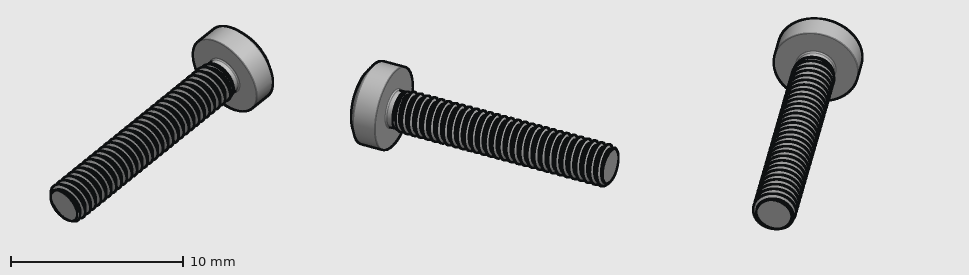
import cadquery as cq
import math

total_length = 16.1

head_radius = 5.0 / 2
head_height = 2.1
rim_height = 1.43
crown_flat_radius = 1.34
crown_bulge = 0.08
rim_top_round = 0.08
rim_bottom_round = 0.03

neck_radius = 1.11
neck_length = 0.43
neck_fillet = 0.08

thread_pitch = 0.45
major_radius = 2.5 / 2
root_radius = 1.01
crest_width = thread_pitch / 8
flank_angle = 30.0
runout_length = 0.39
closed_runout_length = 0.27
tip_radius = 1.06
tip_chamfer_length = 0.21
crest_to_tip = 0.05
root_overlap = 0.05
trim_margin = 0.08
trim_reach = 3 * thread_pitch
spare_turns = 1

shank_length = total_length - head_height
thread_length = shank_length - neck_length


def make_head():
    """Cylindrical rim with a slightly domed, flat-topped crown."""
    profile = (
        cq.Workplane("XY")
        .lineTo(head_radius, 0)
        .lineTo(head_radius, rim_height)
        .sagittaArc((crown_flat_radius, head_height), -crown_bulge)
        .lineTo(0, head_height)
        .close()
    )
    head = profile.revolve(360, (0, 0), (0, 1))
    head = head.faces("%CYLINDER").edges("%CIRCLE and >Y").fillet(rim_top_round)
    return head.faces("<Y").edges().fillet(rim_bottom_round)


def make_neck():
    """Plain neck that flares into the underside of the head."""
    flare_radius = neck_radius + neck_fillet
    arc_offset = neck_fillet * (1 - math.sqrt(0.5))
    return (
        cq.Workplane("XY")
        .lineTo(flare_radius, 0)
        .threePointArc((neck_radius + arc_offset, -arc_offset), (neck_radius, -neck_fillet))
        .lineTo(neck_radius, -neck_length)
        .lineTo(0, -neck_length)
        .close()
        .revolve(360, (0, 0), (0, 1))
    )


def make_end_trim(end_y, end_radius, taper_length, outward):
    """Cutter with a conical mouth that tapers one end of the thread and clears all beyond it."""
    slope = (major_radius - end_radius) / taper_length
    wide_radius = major_radius + trim_margin
    wide_y = end_y - outward * (wide_radius - end_radius) / slope
    far_y = end_y + outward * trim_reach
    outline = [
        (0, end_y),
        (end_radius, end_y),
        (wide_radius, wide_y),
        (wide_radius, far_y),
        (0, far_y),
    ]
    return cq.Workplane("XY").polyline(outline).close().revolve(360, (0, 0), (0, 1))


def make_thread_ridge():
    """Right-handed helical ridge that overshoots both ends of the thread."""
    turns = math.ceil(thread_length / thread_pitch) + 2 * spare_turns
    helix = cq.Wire.makeHelix(thread_pitch, turns * thread_pitch, root_radius)
    flank_slope = math.tan(math.radians(flank_angle))
    crest_half = crest_width / 2
    inner_radius = root_radius - root_overlap
    base_half = crest_half + (major_radius - inner_radius) * flank_slope
    section = [
        (inner_radius, -base_half),
        (major_radius, -crest_half),
        (major_radius, crest_half),
        (inner_radius, base_half),
    ]
    ridge = cq.Workplane("XZ").polyline(section).close().sweep(cq.Workplane(helix), isFrenet=True)
    start = -shank_length + crest_to_tip - spare_turns * thread_pitch
    return ridge.rotate((0, 0, 0), (1, 0, 0), -90).translate((0, start, 0))


def make_closed_runout():
    """Half cone on the -Z side that closes the thread groove just below the neck."""
    end_radius = neck_radius + (major_radius - neck_radius) * closed_runout_length / runout_length
    outline = [
        (0, -neck_length),
        (neck_radius, -neck_length),
        (end_radius, -neck_length - closed_runout_length),
        (0, -neck_length - closed_runout_length),
    ]
    return cq.Workplane("XY").polyline(outline).close().revolve(180, (0, 0), (0, 1))


def make_thread():
    """Root core with a ridge that tapers off at both of its ends."""
    core = cq.Workplane("XZ").circle(root_radius).extrude(thread_length)
    core = core.translate((0, -neck_length, 0))
    ridge = make_thread_ridge()
    ridge = ridge.cut(make_end_trim(-neck_length, neck_radius, runout_length, 1))
    ridge = ridge.cut(make_end_trim(-shank_length, tip_radius, tip_chamfer_length, -1))
    return core.union(ridge).union(make_closed_runout())


result = make_head().union(make_neck()).union(make_thread())